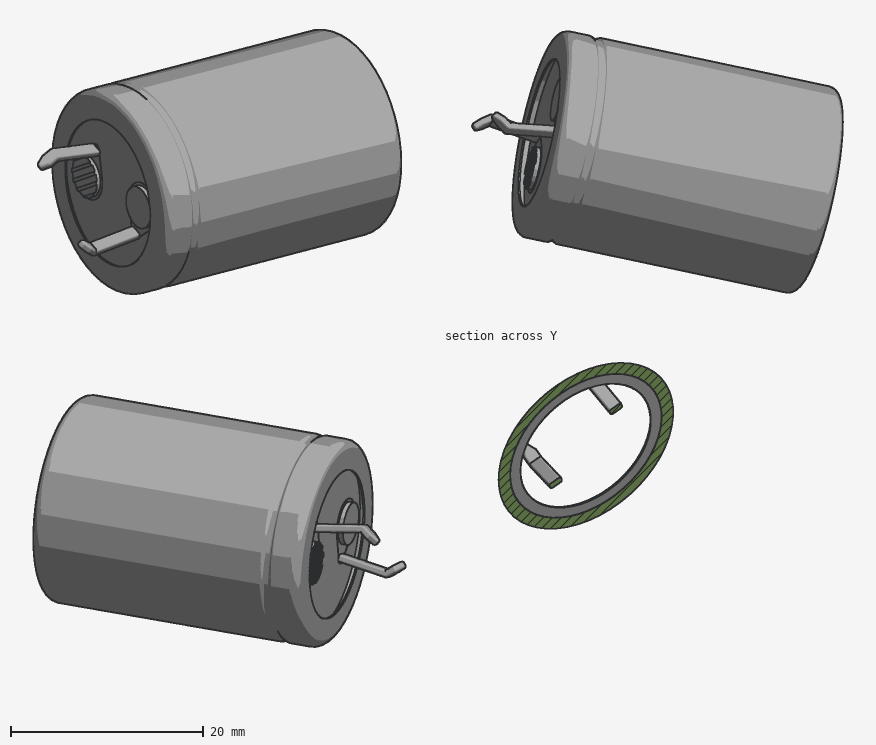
import cadquery as cq
import math


can_diameter = 21.97
can_length = 30.0
can_edge_radius = 1.0

groove_diameter = 21.58
groove_position = 3.72
groove_floor_width = 0.45
groove_flank_width = 0.45

opening_diameter = 15.72
cavity_diameter = 18.2
lip_thickness = 0.18
recess_depth = 1.0

rivet_offset = 5.02
rivet_diameter = 4.5
rivet_height = 0.55
tab_diameter = 5.15
tab_end_diameter = 1.3
tab_thickness = 0.05

stripe_pitch = 1.05
stripe_width = 0.7
stripe_depth = 0.1
stripe_angle = 29.0
stripe_count = 4

terminal_length = 6.15
terminal_width = 1.5
terminal_thickness = 0.8
terminal_corner_radius = 0.25
terminal_x = -3.6
terminal_z = 3.55
lean_angle = 70.0
bend_y = -4.35
bend_lean = 0.65
tip_bend_angle = 37.0
taper_length = 1.0
tip_width = 0.6
root_depth = 0.35

can_radius = can_diameter / 2
lean = math.radians(lean_angle)
lean_direction = cq.Vector(math.cos(lean), 0, math.sin(lean))
width_direction = cq.Vector(-math.sin(lean), 0, math.cos(lean))
lean_slope = bend_lean / bend_y
root_y = recess_depth + root_depth
rivet_head_y = recess_depth - tab_thickness - rivet_height


def disc(diameter, y_start, y_end, x=0.0, z=0.0):
    """Cylinder along Y between two Y positions."""
    plane = cq.Plane(origin=(x, y_start, z), xDir=(1, 0, 0), normal=(0, 1, 0))
    return cq.Workplane(plane).circle(diameter / 2).extrude(y_end - y_start)


def bead_groove():
    """Ring whose S-shaped flanks blend the can wall into the groove floor."""
    depth = (can_diameter - groove_diameter) / 2
    floor_radius = groove_diameter / 2
    floor_half = groove_floor_width / 2
    top_half = floor_half + groove_flank_width
    flank_angle = 2 * math.atan(depth / groove_flank_width)
    arc_radius = groove_flank_width / (2 * math.sin(flank_angle))
    sagitta = arc_radius * (1 - math.cos(flank_angle / 2))
    arc_run = arc_radius * math.sin(flank_angle / 2)
    middle = (floor_radius + depth / 2, floor_half + groove_flank_width / 2)
    wall_mid = (can_radius - sagitta, top_half - arc_run)
    floor_mid = (floor_radius + sagitta, floor_half + arc_run)

    half_ring = (
        cq.Workplane("XY")
        .moveTo(can_radius, 0)
        .lineTo(can_radius, top_half)
        .threePointArc(wall_mid, middle)
        .threePointArc(floor_mid, (floor_radius, floor_half))
        .lineTo(floor_radius, 0)
        .close()
        .revolve(360, (0, 0, 0), (0, 1, 0))
    )
    ring = half_ring.union(half_ring.mirror("XZ"))
    return ring.translate((0, groove_position, 0))


def can():
    body = disc(can_diameter, 0, can_length).edges().fillet(can_edge_radius)
    opening = disc(opening_diameter, 0, recess_depth)
    cavity = disc(cavity_diameter, lip_thickness, recess_depth)
    return body.cut(bead_groove()).cut(opening).cut(cavity)


def tab(root_x, root_z):
    """Plate spanning the rivet circle and the terminal root, with tangent sides."""
    y_top = recess_depth - tab_thickness
    big_radius = tab_diameter / 2
    small_radius = tab_end_diameter / 2
    run_x = root_x + rivet_offset
    distance = math.hypot(run_x, root_z)
    heading = math.atan2(root_z, run_x)
    swing = math.acos((big_radius - small_radius) / distance)

    def tangent_point(x, z, radius, angle):
        return (x + radius * math.cos(angle), z + radius * math.sin(angle))

    corners = [
        tangent_point(-rivet_offset, 0, big_radius, heading + swing),
        tangent_point(root_x, root_z, small_radius, heading + swing),
        tangent_point(root_x, root_z, small_radius, heading - swing),
        tangent_point(-rivet_offset, 0, big_radius, heading - swing),
    ]
    root_plane = cq.Workplane("XZ", origin=(0, root_y, 0))
    web = root_plane.polyline(corners).close().extrude(root_y - y_top)
    return (
        web.union(disc(tab_diameter, y_top, root_y, -rivet_offset))
        .union(disc(tab_end_diameter, y_top, root_y, root_x, root_z))
    )


def terminal():
    """Bent strip with a tapered tip and rounded edges."""
    tip_angle = math.radians(tip_bend_angle)
    half_thickness = terminal_thickness / 2
    corner_drop = (half_thickness - terminal_corner_radius) * math.sin(tip_angle)
    corner_drop += terminal_corner_radius * (1 - math.cos(tip_angle))
    tip_y = corner_drop - terminal_length
    tip_lean = bend_lean + (tip_y - bend_y) * math.tan(tip_angle)

    def centre(y, shift):
        return cq.Vector(
            terminal_x + shift * lean_direction.x,
            y,
            terminal_z + shift * lean_direction.z,
        )

    root = centre(root_y, root_y * lean_slope)
    bend = centre(bend_y, bend_lean)
    tip = centre(tip_y, tip_lean)
    path = cq.Workplane(cq.Wire.makePolygon([root, bend, tip]))
    section_plane = cq.Plane(origin=root, xDir=width_direction, normal=bend - root)
    strip = (
        cq.Workplane(section_plane)
        .rect(terminal_width, terminal_thickness)
        .sweep(path, transition="round")
    )

    across_tip = width_direction.cross(tip - bend)
    tip_corners = strip.faces("<Y").edges(cq.selectors.ParallelDirSelector(across_tip))
    strip = tip_corners.chamfer(taper_length, (terminal_width - tip_width) / 2)

    crosswise = strip.edges(cq.selectors.ParallelDirSelector(width_direction)).vals()
    root_end = strip.faces(">Y").edges().vals()
    tip_end = strip.faces("<Y").edges().vals()
    sharp = [edge for edge in crosswise + root_end if edge not in tip_end]
    rounded = [edge for edge in strip.edges().vals() if edge not in sharp]
    return strip.newObject(rounded).fillet(terminal_corner_radius)


def electrode():
    """Rivet, tab and terminal on the -X side."""
    root_shift = recess_depth * lean_slope
    root_x = terminal_x + root_shift * lean_direction.x
    root_z = terminal_z + root_shift * lean_direction.z
    rivet = disc(rivet_diameter, rivet_head_y, root_y, -rivet_offset)
    return rivet.union(tab(root_x, root_z)).union(terminal())


def rivet_stripes():
    """Parallel grooves that cross the head of the -X rivet at a slant."""
    stripes = (
        cq.Workplane("XZ")
        .rarray(0.35, stripe_pitch, 1, stripe_count)
        .rect(tab_diameter, stripe_width)
        .extrude(-stripe_depth)
        .rotate((0, 0, 0), (0, 1, 0), -stripe_angle)
    )
    return stripes.translate((-rivet_offset, rivet_head_y, 0))


negative = electrode()
positive = negative.rotate((0, 0, 0), (0, 1, 0), 180)

result = can().union(negative.cut(rivet_stripes())).union(positive)